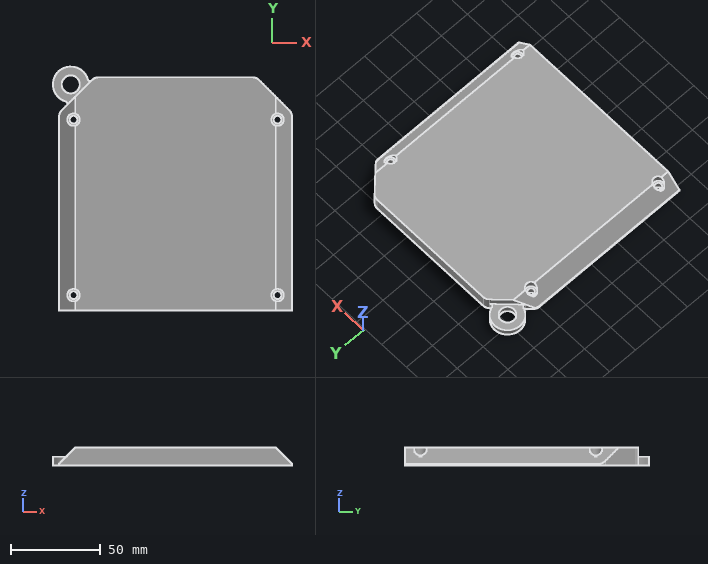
import cadquery as cq
import math

plate_side = 130.0
thickness = 10.0
edge_lip = 1.0
side_slope_width = thickness - edge_lip
corner_cut = 20.0
corner_round = 5.0

screw_diameter = 4.2
counterbore_diameter = 6.9
counterbore_floor = 5.0
screw_side_inset = 8.2
screw_front_inset = 8.5
screw_back_inset = 23.7

ring_hole_diameter = 9.9
ring_diameter = 20.0
ring_height = 5.0
ring_side_overhang = 3.4
ring_back_overhang = 6.0
neck_fillet = 1.2

half_side = plate_side / 2
ring_radius = ring_diameter / 2
ring_x = -half_side - ring_side_overhang + ring_radius
ring_y = half_side + ring_back_overhang - ring_radius


def make_plate():
    """Square plate with cut, rounded back corners and sloped left and right sides."""
    outline = (
        cq.Workplane("XY")
        .rect(plate_side, plate_side)
        .extrude(thickness)
        .edges("|Z and >Y")
        .chamfer(corner_cut)
    )
    cut_corners = cq.selectors.BoxSelector(
        (-plate_side, half_side - corner_cut - corner_round, -thickness),
        (plate_side, plate_side, 2 * thickness),
    )
    outline = outline.edges("|Z").edges(cut_corners).fillet(corner_round)

    half_top = half_side - side_slope_width
    profile = (
        cq.Workplane("XZ", origin=(0, half_side, 0))
        .moveTo(-half_side, 0)
        .lineTo(half_side, 0)
        .lineTo(half_side, edge_lip)
        .lineTo(half_top, thickness)
        .lineTo(-half_top, thickness)
        .lineTo(-half_side, edge_lip)
        .close()
        .extrude(plate_side)
    )
    return outline.intersect(profile)


def make_ring():
    """Ring joined to the cut corner, with a small fillet on each side of the joint."""
    neck_plane = cq.Plane(origin=(ring_x, ring_y, 0), xDir=(1, -1, 0), normal=(0, 0, 1))
    corner_distance = (ring_y - ring_x - plate_side + corner_cut) / math.sqrt(2)

    fillet_x = corner_distance - neck_fillet
    fillet_y = math.sqrt((ring_radius + neck_fillet) ** 2 - fillet_x ** 2)
    rim_share = ring_radius / (ring_radius + neck_fillet)
    rim_x = fillet_x * rim_share
    rim_y = fillet_y * rim_share

    return (
        cq.Workplane(neck_plane)
        .moveTo(corner_distance, fillet_y)
        .radiusArc((rim_x, rim_y), neck_fillet)
        .threePointArc((-ring_radius, 0), (rim_x, -rim_y))
        .radiusArc((corner_distance, -fillet_y), neck_fillet)
        .close()
        .extrude(ring_height)
        .cut(cq.Workplane(neck_plane).circle(ring_hole_diameter / 2).extrude(ring_height))
    )


def make_screw_holes():
    """Cutters for the four counterbored through holes."""
    screw_x = half_side - screw_side_inset
    positions = [
        (x, y)
        for x in (-screw_x, screw_x)
        for y in (screw_front_inset - half_side, half_side - screw_back_inset)
    ]
    shanks = cq.Workplane("XY").pushPoints(positions).circle(screw_diameter / 2).extrude(thickness)
    counterbores = (
        cq.Workplane("XY", origin=(0, 0, counterbore_floor))
        .pushPoints(positions)
        .circle(counterbore_diameter / 2)
        .extrude(thickness - counterbore_floor)
    )
    return shanks.union(counterbores)


result = make_plate().union(make_ring()).cut(make_screw_holes())